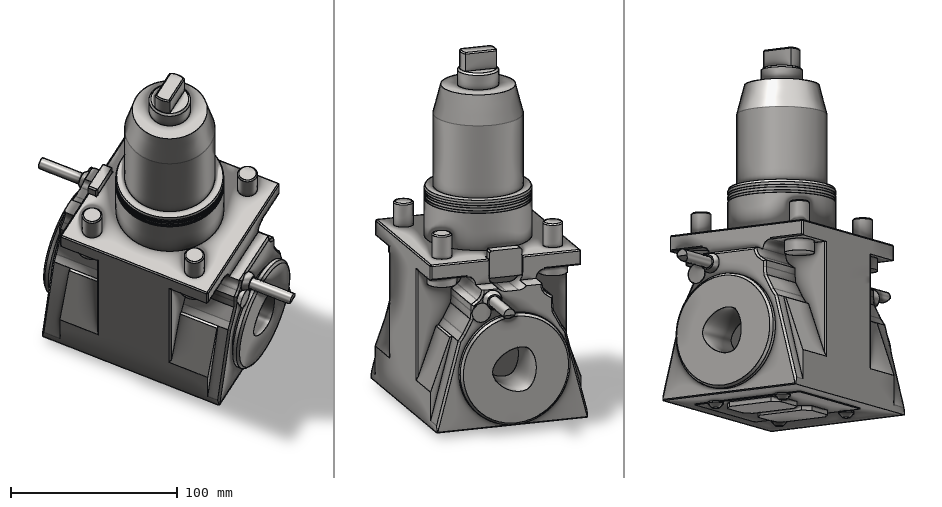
import cadquery as cq
import math

OVERALL_LENGTH = 182.35
OVERALL_WIDTH = 95.9
OVERALL_HEIGHT = 222.1
HALF_WIDTH = OVERALL_WIDTH / 2

SPIGOT_DIAMETER = 65.0
SPIGOT_TOP = 31.3
SPIGOT_CHAMFER_HEIGHT = 1.5
SPIGOT_CHAMFER_DEPTH = 0.6
RING_GROOVE_BOTTOMS = (23.3, 26.6)
RING_GROOVE_HEIGHT = 1.5
RING_GROOVE_DEPTH = 0.4
BARREL_DIAMETER = 54.4
BARREL_TOP = 76.7
CONE_TOP = 94.7
CONE_TOP_DIAMETER = 45.0
SHAFT_DIAMETER = 25.0
SHAFT_TOP = 105.0
TANG_DIAMETER = 22.2
TANG_THICKNESS = 10.0
TANG_TOP = 116.6
TANG_CHAMFER = 0.8
SHAFT_CHAMFER = 1.2

FLANGE_HALF_LENGTH = 49.7
FLANGE_THICKNESS = 9.6
FLANGE_CHAMFER = 0.8
NECK_HALF_WIDTH = 19.3
BOLT_X = 34.4
BOLT_Y = 35.35
BOLT_DIAMETER = 12.0
BOLT_TOP = 14.7
BOLT_CHAMFER = 0.8
BOLT_HEAD_DIAMETER = 18.0
BOLT_HEAD_BOTTOM = -16.8

KEY_WIDTH = 20.6
KEY_DEPTH = 6.0
KEY_TOP = 5.1
KEY_BOTTOM = -12.0
KEY_CHAMFER = 1.0
KEYWAY_WIDTH = 21.6
KEYWAY_BOTTOM = -17.3
KEYWAY_FILLET = 7.0

HOUSING_CENTRE_X = -2.05
HOUSING_LENGTH = 119.4
HOUSING_HALF_LENGTH = HOUSING_LENGTH / 2
HOUSING_TOP = -15.1
NECK_FILLET = -FLANGE_THICKNESS - HOUSING_TOP
HOUSING_BOTTOM = -102.0
SHOULDER = ((22.3, -21.2), (26.0, -23.7), (26.0, -27.7), (26.5, -32.7), (31.3, -41.6), (34.2, -45.8))
SHOULDER_ARC_MIDDLE = (20.1, -18.5)
CORE_SLOPE_TOP = (35.7, -46.4)
CORE_SLOPE_BOTTOM = -79.7
END_SLOPE_BOTTOM = -97.6
END_CHAMFER = 1.3
END_BASE_CHAMFER = 0.6
WEB_OUTER_HALF_LENGTH = 23.7
WEB_INNER_HALF_LENGTH = 25.0
WEB_BEVEL_DEPTH = 0.9

SPINDLE_Z = -65.1
HUB_DIAMETER = 62.0
HUB_LENGTH = 2.3
DISC_DIAMETER = 70.0
DISC_CHAMFER = 1.5
SPINDLE_LENGTH = 6.2
POLYGON_MEAN_RADIUS = 13.9
POLYGON_LOBE = 0.95
POLYGON_DEPTH = 30.0
POLYGON_TAPER = 1 / 40
POLYGON_STEPS = 48

TUBE_Y = 13.0
TUBE_Z = -21.7
TUBE_DIAMETER = 7.0
TUBE_TIP_BEVEL = 3.0
COLLAR_DIAMETER = 12.0
COLLAR_TIP_DIAMETER = 8.8
COLLAR_ARC_MIDDLE = (5.6, 2.1)
COLLAR_LENGTH = 3.9
PLUG_Y = 21.0
PLUG_Z = -27.9
PLUG_DIAMETER = 12.0
PLUG_ROOT_DIAMETER = 7.6
PLUG_LENGTH = 3.6

UNDERSIDE_CENTRE_X = 4.8
UNDERSIDE_BOTTOM = TANG_TOP - OVERALL_HEIGHT
PAD_LENGTH = 65.6
PAD_WIDTH = 75.6
PAD_THICKNESS = 0.6
PLATE_LENGTH = 26.0
PLATE_WIDTH = 39.0
PLATE_CORNER = 4.6
PLATE_SPACING = 33.2
FOOT_SPACING_X = 69.2
FOOT_CENTRE_X = 0.9
FOOT_SPACING_Y = 48.2
FOOT_DIAMETER = 9.5
FOOT_CHAMFER = 2.6


def both_ends(feature):
    """Return a -X end feature together with its copy half a turn about the housing centre line."""
    axis_start = (HOUSING_CENTRE_X, 0, 0)
    axis_end = (HOUSING_CENTRE_X, 0, 1)
    return feature.union(feature.rotate(axis_start, axis_end, 180))


def revolve_outward(outline, y, z):
    """Revolve a closed (radius, outward distance) outline about an X axis on the -X end face."""
    solid = outline.revolve(360, (0, 0), (0, 1))
    end_x = HOUSING_CENTRE_X - HOUSING_HALF_LENGTH
    return solid.rotate((0, 0, 0), (0, 0, 1), 90).translate((end_x, y, z))


def make_tower():
    spigot_radius = SPIGOT_DIAMETER / 2
    profile = [
        (0, -FLANGE_THICKNESS),
        (spigot_radius, -FLANGE_THICKNESS),
        (spigot_radius, SPIGOT_TOP - SPIGOT_CHAMFER_HEIGHT),
        (spigot_radius - SPIGOT_CHAMFER_DEPTH, SPIGOT_TOP),
        (BARREL_DIAMETER / 2, SPIGOT_TOP),
        (BARREL_DIAMETER / 2, BARREL_TOP),
        (CONE_TOP_DIAMETER / 2, CONE_TOP),
        (SHAFT_DIAMETER / 2, CONE_TOP),
        (SHAFT_DIAMETER / 2, SHAFT_TOP - SHAFT_CHAMFER),
        (SHAFT_DIAMETER / 2 - SHAFT_CHAMFER, SHAFT_TOP),
        (0, SHAFT_TOP),
    ]
    tower = cq.Workplane("XZ").polyline(profile).close().revolve(360, (0, 0), (0, 1))
    for groove_bottom in RING_GROOVE_BOTTOMS:
        groove = (
            cq.Workplane("XY", origin=(0, 0, groove_bottom))
            .circle(spigot_radius + RING_GROOVE_DEPTH)
            .circle(spigot_radius - RING_GROOVE_DEPTH)
            .extrude(RING_GROOVE_HEIGHT)
        )
        tower = tower.cut(groove)
    tang_height = TANG_TOP - CONE_TOP
    tang_base = cq.Workplane("XY", origin=(0, 0, CONE_TOP))
    tang_round = tang_base.circle(TANG_DIAMETER / 2).extrude(tang_height)
    tang_flats = tang_base.rect(TANG_THICKNESS, SHAFT_DIAMETER).extrude(tang_height)
    tang = tang_round.intersect(tang_flats).faces(">Z").chamfer(TANG_CHAMFER)
    return tower.union(tang)


def make_flange():
    flange = (
        cq.Workplane("XY", origin=(0, 0, -FLANGE_THICKNESS))
        .rect(2 * FLANGE_HALF_LENGTH, OVERALL_WIDTH)
        .extrude(FLANGE_THICKNESS)
        .faces(">Z or <X or >X")
        .edges()
        .chamfer(FLANGE_CHAMFER)
    )
    fillet_outer = NECK_HALF_WIDTH + NECK_FILLET
    fillet_reach = NECK_FILLET * (1 - math.sqrt(0.5))
    fillet_middle = (NECK_HALF_WIDTH + fillet_reach, -FLANGE_THICKNESS - fillet_reach)
    half_neck = (
        cq.Workplane("YZ", origin=(-FLANGE_HALF_LENGTH, 0, 0))
        .moveTo(0, HOUSING_TOP)
        .lineTo(NECK_HALF_WIDTH, HOUSING_TOP)
        .threePointArc(fillet_middle, (fillet_outer, -FLANGE_THICKNESS))
        .lineTo(fillet_outer, -FLANGE_THICKNESS / 2)
        .lineTo(0, -FLANGE_THICKNESS / 2)
        .close()
        .extrude(2 * FLANGE_HALF_LENGTH)
    )
    return flange.union(half_neck).union(half_neck.mirror("XZ"))


def housing_prism(slope, centre_x, half_length):
    """Return a prism along X whose sides follow the shoulder and then the slope points."""
    half = (
        cq.Workplane("YZ", origin=(centre_x - half_length, 0, 0))
        .moveTo(0, HOUSING_TOP)
        .lineTo(NECK_HALF_WIDTH, HOUSING_TOP)
        .threePointArc(SHOULDER_ARC_MIDDLE, SHOULDER[0])
    )
    for point in [*SHOULDER[1:], *slope]:
        half = half.lineTo(*point)
    half = (
        half.lineTo(HALF_WIDTH, HOUSING_BOTTOM)
        .lineTo(0, HOUSING_BOTTOM)
        .close()
        .extrude(2 * half_length)
    )
    return half.union(half.mirror("XZ")).clean()


def make_housing():
    ends = housing_prism([(HALF_WIDTH, END_SLOPE_BOTTOM)], HOUSING_CENTRE_X, HOUSING_HALF_LENGTH)
    flank_edges = cq.selectors.BoxSelector(
        (-OVERALL_LENGTH, -OVERALL_WIDTH, END_SLOPE_BOTTOM),
        (OVERALL_LENGTH, OVERALL_WIDTH, HOUSING_TOP - END_CHAMFER),
    )
    flank_and_top_edges = cq.selectors.BoxSelector(
        (-OVERALL_LENGTH, -OVERALL_WIDTH, END_SLOPE_BOTTOM),
        (OVERALL_LENGTH, OVERALL_WIDTH, 0),
    )
    base_edges = cq.selectors.BoxSelector(
        (-OVERALL_LENGTH, -OVERALL_WIDTH, HOUSING_BOTTOM - END_CHAMFER),
        (OVERALL_LENGTH, OVERALL_WIDTH, END_SLOPE_BOTTOM),
    )
    ends = ends.faces("<X or >X").edges(base_edges).chamfer(END_BASE_CHAMFER)
    ends = ends.faces("<X").edges(flank_edges).chamfer(END_CHAMFER)
    ends = ends.faces(">X").edges(flank_and_top_edges).chamfer(END_CHAMFER)
    core = housing_prism([CORE_SLOPE_TOP, (HALF_WIDTH, CORE_SLOPE_BOTTOM)], 0, FLANGE_HALF_LENGTH)
    bevel_y = HALF_WIDTH - WEB_BEVEL_DEPTH
    web_outline = [
        (WEB_OUTER_HALF_LENGTH, HALF_WIDTH),
        (WEB_INNER_HALF_LENGTH, bevel_y),
        (WEB_INNER_HALF_LENGTH, -bevel_y),
        (WEB_OUTER_HALF_LENGTH, -HALF_WIDTH),
        (-WEB_OUTER_HALF_LENGTH, -HALF_WIDTH),
        (-WEB_INNER_HALF_LENGTH, -bevel_y),
        (-WEB_INNER_HALF_LENGTH, bevel_y),
        (-WEB_OUTER_HALF_LENGTH, HALF_WIDTH),
    ]
    web_height = -FLANGE_THICKNESS / 2 - HOUSING_BOTTOM
    web_base = cq.Workplane("XY", origin=(0, 0, HOUSING_BOTTOM))
    web = web_base.polyline(web_outline).close().extrude(web_height)
    return ends.union(core).union(web)


def make_bolts():
    centres = [(x, y) for x in (-BOLT_X, BOLT_X) for y in (-BOLT_Y, BOLT_Y)]
    heads = (
        cq.Workplane("XY", origin=(0, 0, BOLT_HEAD_BOTTOM))
        .pushPoints(centres)
        .circle(BOLT_HEAD_DIAMETER / 2)
        .extrude(-FLANGE_THICKNESS / 2 - BOLT_HEAD_BOTTOM)
    )
    shanks = (
        cq.Workplane("XY", origin=(0, 0, -FLANGE_THICKNESS / 2))
        .pushPoints(centres)
        .circle(BOLT_DIAMETER / 2)
        .extrude(BOLT_TOP + FLANGE_THICKNESS / 2)
        .faces(">Z")
        .chamfer(BOLT_CHAMFER)
    )
    return heads.union(shanks)


def make_keyway():
    """Return the cutter for the key seat, open to the -X end of the housing."""
    end_x = HOUSING_CENTRE_X - HOUSING_HALF_LENGTH
    length = -FLANGE_HALF_LENGTH + KEY_DEPTH - end_x
    return (
        cq.Workplane("XY", origin=(end_x + length / 2, 0, KEYWAY_BOTTOM))
        .rect(length, KEYWAY_WIDTH)
        .extrude(-KEYWAY_BOTTOM)
        .edges("|X and <Z")
        .fillet(KEYWAY_FILLET)
    )


def make_key():
    return (
        cq.Workplane("XY", origin=(-FLANGE_HALF_LENGTH + KEY_DEPTH / 2, 0, KEY_BOTTOM))
        .rect(KEY_DEPTH, KEY_WIDTH)
        .extrude(KEY_TOP - KEY_BOTTOM)
        .edges("(|X and >Z) or (|Z and >X)")
        .chamfer(KEY_CHAMFER)
    )


def make_spindle():
    """Return the grooved disc at the -X end of the housing."""
    profile = [
        (0, -END_CHAMFER),
        (HUB_DIAMETER / 2, -END_CHAMFER),
        (HUB_DIAMETER / 2, HUB_LENGTH),
        (DISC_DIAMETER / 2, HUB_LENGTH),
        (DISC_DIAMETER / 2, SPINDLE_LENGTH - DISC_CHAMFER),
        (DISC_DIAMETER / 2 - DISC_CHAMFER, SPINDLE_LENGTH),
        (0, SPINDLE_LENGTH),
    ]
    outline = cq.Workplane("XY").polyline(profile).close()
    return revolve_outward(outline, 0, SPINDLE_Z)


def polygon_outline(mean_radius):
    """Return (Y, Z) points of the three-lobed constant-width outline, with one lobe toward +Y."""
    points = []
    for step in range(POLYGON_STEPS):
        angle = 2 * math.pi * step / POLYGON_STEPS
        support = mean_radius + POLYGON_LOBE * math.cos(3 * angle)
        slope = -3 * POLYGON_LOBE * math.sin(3 * angle)
        y = support * math.cos(angle) - slope * math.sin(angle)
        z = support * math.sin(angle) + slope * math.cos(angle)
        points.append((y, z))
    return points


def make_polygon_socket():
    """Return the cutter for the tapered three-lobed socket in the -X spindle."""
    face_x = HOUSING_CENTRE_X - HOUSING_HALF_LENGTH - SPINDLE_LENGTH
    floor_radius = POLYGON_MEAN_RADIUS - POLYGON_DEPTH * POLYGON_TAPER
    return (
        cq.Workplane("YZ", origin=(face_x, 0, SPINDLE_Z))
        .spline(polygon_outline(POLYGON_MEAN_RADIUS), periodic=True)
        .close()
        .workplane(offset=POLYGON_DEPTH)
        .spline(polygon_outline(floor_radius), periodic=True)
        .close()
        .loft()
    )


def make_tube():
    """Return the coolant tube and its collar at the -X end of the housing."""
    tube_length = (OVERALL_LENGTH - HOUSING_LENGTH) / 2
    tube_radius = TUBE_DIAMETER / 2
    outline = (
        cq.Workplane("XY")
        .moveTo(0, -END_CHAMFER)
        .lineTo(COLLAR_DIAMETER / 2, -END_CHAMFER)
        .lineTo(COLLAR_DIAMETER / 2, 0)
        .threePointArc(COLLAR_ARC_MIDDLE, (COLLAR_TIP_DIAMETER / 2, COLLAR_LENGTH))
        .lineTo(tube_radius, COLLAR_LENGTH)
        .lineTo(tube_radius, tube_length)
        .lineTo(0, tube_length)
        .close()
    )
    tip_x = HOUSING_CENTRE_X - OVERALL_LENGTH / 2
    tube_bottom = TUBE_Z - tube_radius
    bevel = (
        cq.Workplane("XZ", origin=(0, TUBE_Y, 0))
        .moveTo(tip_x, tube_bottom)
        .lineTo(tip_x + TUBE_TIP_BEVEL, tube_bottom)
        .lineTo(tip_x, tube_bottom + TUBE_TIP_BEVEL)
        .close()
        .extrude(tube_radius, both=True)
    )
    return revolve_outward(outline, TUBE_Y, TUBE_Z).cut(bevel)


def make_plug():
    """Return the plug beside the tube, widening outward from the -X end face."""
    root_radius = PLUG_ROOT_DIAMETER / 2
    profile = [
        (0, -END_CHAMFER),
        (root_radius, -END_CHAMFER),
        (root_radius, 0),
        (PLUG_DIAMETER / 2, PLUG_LENGTH),
        (0, PLUG_LENGTH),
    ]
    outline = cq.Workplane("XY").polyline(profile).close()
    return revolve_outward(outline, PLUG_Y, PLUG_Z)


def make_underside():
    base = cq.Workplane("XY", origin=(0, 0, HOUSING_BOTTOM))
    height = UNDERSIDE_BOTTOM - HOUSING_BOTTOM
    pad = base.center(UNDERSIDE_CENTRE_X, 0).rect(PAD_LENGTH, PAD_WIDTH).extrude(-PAD_THICKNESS)
    plates = (
        base.center(UNDERSIDE_CENTRE_X, 0)
        .rarray(PLATE_SPACING, 1, 2, 1)
        .rect(PLATE_LENGTH, PLATE_WIDTH)
        .extrude(height)
        .edges("|Z")
        .chamfer(PLATE_CORNER)
    )
    feet = (
        base.center(FOOT_CENTRE_X, 0)
        .rarray(FOOT_SPACING_X, FOOT_SPACING_Y, 2, 2)
        .circle(FOOT_DIAMETER / 2)
        .extrude(height)
        .faces("<Z")
        .chamfer(FOOT_CHAMFER)
    )
    return pad.union(plates).union(feet)


body = make_housing().union(make_flange())
body = body.cut(make_keyway())
body = body.union(make_key())
body = body.union(make_tower()).union(make_bolts()).union(make_underside())
for end_feature in (make_spindle(), make_tube(), make_plug()):
    body = body.union(both_ends(end_feature))
result = body.cut(both_ends(make_polygon_socket()))